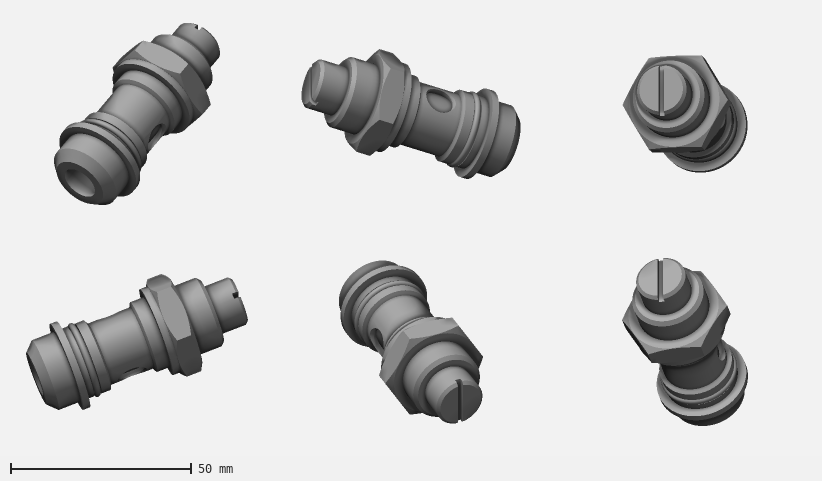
import cadquery as cq
import math

length = 60.75

land_radius = 10.4
nose_chamfer = 2.6
bore_radius = 5.05
bore_depth = 18.2
collar_radius = 12.8
collar_width = 2.0
front_collar_start = 9.0

groove_start = 13.1
groove_width = 2.3
seal_section_radius = 0.9
seal_outer_radius = 10.95
seal_center_radius = seal_outer_radius - seal_section_radius
groove_floor_radius = seal_center_radius - seal_section_radius
groove_end = groove_start + groove_width
seal_center_y = (groove_start + groove_end) / 2

neck_radius = 9.1
neck_start = 18.8
neck_end = 31.35
land_chamfer_length = 0.65

pocket_radius = 4.0
pocket_mouth_radius = 4.55
pocket_floor_radius = 7.5
pocket_y = (neck_start + neck_end) / 2
countersink_depth_x = math.sqrt(neck_radius**2 - pocket_radius**2)

nut_start = 37.85
nut_end = 44.45
across_flats = 26.0
across_corners = across_flats / math.cos(math.pi / 6)
nut_face_radius = 12.9
nut_chamfer_angle = math.radians(30)
rear_collar_start = nut_start - collar_width

rear_radius = 10.2
rear_end = 52.4
rear_chamfer = 1.05
stub_radius = 7.05
stub_chamfer = 0.85
slot_width = 1.6
slot_depth = 1.95


def revolve_about_y(points):
    """Turn a closed outline of (radius, y) points about the Y axis."""
    return cq.Workplane("XY").polyline(points).close().revolve(360, (0, 0, 0), (0, 1, 0))


def cylinder_y(radius, start, end):
    return cq.Workplane("XZ", origin=(0, start, 0)).circle(radius).extrude(start - end)


def make_turned_blank():
    return revolve_about_y([
        (0, 0),
        (land_radius - nose_chamfer, 0),
        (land_radius, nose_chamfer),
        (land_radius, front_collar_start),
        (collar_radius, front_collar_start),
        (collar_radius, front_collar_start + collar_width),
        (land_radius, front_collar_start + collar_width),
        (land_radius, groove_start),
        (groove_floor_radius, groove_start),
        (groove_floor_radius, groove_end),
        (land_radius, groove_end),
        (land_radius, neck_start - land_chamfer_length),
        (neck_radius, neck_start),
        (neck_radius, neck_end),
        (land_radius, neck_end + land_chamfer_length),
        (land_radius, rear_collar_start),
        (collar_radius, rear_collar_start),
        (collar_radius, nut_start),
        (rear_radius, nut_start),
        (rear_radius, rear_end - rear_chamfer),
        (rear_radius - rear_chamfer, rear_end),
        (stub_radius, rear_end),
        (stub_radius, length - stub_chamfer),
        (stub_radius - stub_chamfer, length),
        (0, length),
    ])


def make_hexagon():
    """Hexagon with corners on X, its corners turned off conically at both faces."""
    corner_radius = across_corners / 2
    chamfer_length = (corner_radius - nut_face_radius) * math.tan(nut_chamfer_angle)
    prism = (
        cq.Workplane("XZ", origin=(0, nut_start, 0))
        .polygon(6, across_corners)
        .extrude(nut_start - nut_end)
    )
    envelope = revolve_about_y([
        (0, nut_start),
        (nut_face_radius, nut_start),
        (corner_radius, nut_start + chamfer_length),
        (corner_radius, nut_end - chamfer_length),
        (nut_face_radius, nut_end),
        (0, nut_end),
    ])
    return prism.intersect(envelope)


def make_pocket_cutter():
    """Countersunk cross hole that leaves a round core, giving one pocket on each side."""
    hole_outline = [
        (0, 0),
        (0, pocket_radius),
        (countersink_depth_x, pocket_radius),
        (neck_radius, pocket_mouth_radius),
        (neck_radius, 0),
    ]
    hole = cq.Workplane("XY").polyline(hole_outline).close().revolve(360, (0, 0, 0), (1, 0, 0))
    cross_hole = hole.union(hole.mirror("YZ")).translate((0, pocket_y, 0))
    return cross_hole.cut(cylinder_y(pocket_floor_radius, neck_start, neck_end))


def make_slot_cutter():
    return cq.Workplane("XY").box(slot_width, slot_depth, 2 * stub_radius).translate(
        (0, length - slot_depth / 2, 0)
    )


def make_housing():
    return (
        make_turned_blank()
        .union(make_hexagon())
        .cut(cylinder_y(bore_radius, 0, bore_depth))
        .cut(make_pocket_cutter())
        .cut(make_slot_cutter())
    )


def make_seal_ring():
    return (
        cq.Workplane("XY")
        .center(seal_center_radius, seal_center_y)
        .circle(seal_section_radius)
        .revolve(360, (-seal_center_radius, 0, 0), (-seal_center_radius, 1, 0))
    )


housing = make_housing()
seal_ring = make_seal_ring()
result = cq.Compound.makeCompound([housing.solids().val(), seal_ring.val()])